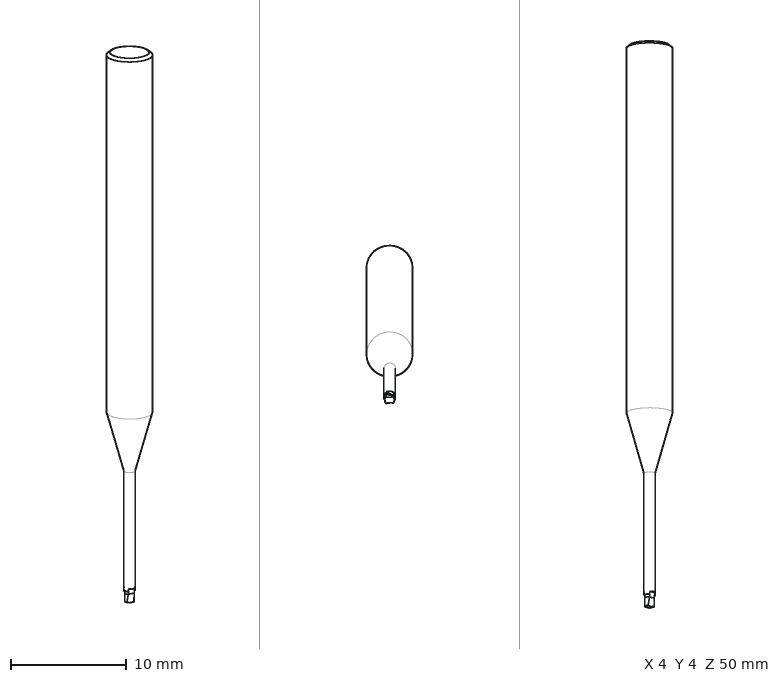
import cadquery as cq
import math

TOTAL_LENGTH = 50.0

SHANK_DIAMETER = 4.0
SHANK_BOTTOM = 17.35
END_CHAMFER_WIDTH = 0.3
END_CHAMFER_HEIGHT = 0.25

NECK_DIAMETER = 1.0
NECK_TOP = 12.0
NECK_BOTTOM = 1.15

HEAD_DIAMETER = 0.85
HEAD_TOP = 0.9
POINT_HEIGHT = 0.15

FLUTE_COUNT = 2
FLUTE_TOP = 1.4
FLUTE_RADIUS = 1.0
WEB_THICKNESS = 0.5
FLUTE_START_ANGLE = -50.0
FLUTE_TWIST = 30.0


def make_shank():
    """Turned body: chamfered shank, conical shoulder, slim neck and stub for the head."""
    shank_radius = SHANK_DIAMETER / 2
    neck_radius = NECK_DIAMETER / 2
    head_radius = HEAD_DIAMETER / 2
    return (
        cq.Workplane("XZ")
        .moveTo(0, HEAD_TOP)
        .lineTo(head_radius, HEAD_TOP)
        .lineTo(head_radius, NECK_BOTTOM)
        .lineTo(neck_radius, NECK_BOTTOM)
        .lineTo(neck_radius, NECK_TOP)
        .lineTo(shank_radius, SHANK_BOTTOM)
        .lineTo(shank_radius, TOTAL_LENGTH - END_CHAMFER_HEIGHT)
        .lineTo(shank_radius - END_CHAMFER_WIDTH, TOTAL_LENGTH)
        .lineTo(0, TOTAL_LENGTH)
        .close()
        .revolve(360, (0, 0), (0, 1))
    )


def make_flutes():
    """Twisted cutters evenly spaced about the axis, leaving the web between them."""
    centre_distance = WEB_THICKNESS / 2 + FLUTE_RADIUS
    flutes = []
    for index in range(FLUTE_COUNT):
        angle = math.radians(FLUTE_START_ANGLE + 360 * index / FLUTE_COUNT)
        flute = (
            cq.Workplane("XY")
            .moveTo(centre_distance * math.cos(angle), centre_distance * math.sin(angle))
            .circle(FLUTE_RADIUS)
            .twistExtrude(FLUTE_TOP, FLUTE_TWIST)
        )
        flutes.append(flute)
    return flutes


def make_cutting_head():
    """Round head ending in a shallow conical point, before fluting."""
    head_radius = HEAD_DIAMETER / 2
    return (
        cq.Workplane("XZ")
        .lineTo(head_radius, POINT_HEIGHT)
        .lineTo(head_radius, HEAD_TOP)
        .lineTo(0, HEAD_TOP)
        .close()
        .revolve(360, (0, 0), (0, 1))
    )


shank = make_shank()
cutting_head = make_cutting_head()
for flute in make_flutes():
    shank = shank.cut(flute)
    cutting_head = cutting_head.cut(flute)

result = cq.Compound.makeCompound([shank.val(), cutting_head.val()])